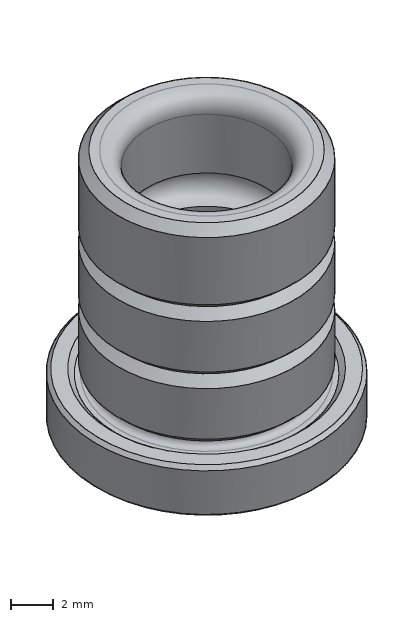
import cadquery as cq
import math

total_height = 16.0
flange_radius = 15.0 / 2
flange_height = 3.0
flange_chamfer = 0.2
body_radius = 6.0
bore_radius = 4.0

top_chamfer = 0.5
mouth_fillet = 1.0

vee_depth = 0.5
vee_pitch = 4.0
vee_count = 2

undercut_depth = 0.3
undercut_outer_radius = 6.5
undercut_floor_radius = undercut_outer_radius - undercut_depth
undercut_fillet = 0.4

bore_groove_radius = 1.0
bore_groove_height = 10.5


def ring(points):
    """Revolve a closed outline of (radius, height) points about Z."""
    return cq.Workplane("XZ").polyline(points).close().revolve(360, (0, 0), (0, 1))


def make_flange():
    flange = cq.Workplane("XY").circle(flange_radius).extrude(flange_height)
    return flange.edges().chamfer(flange_chamfer)


def make_body():
    body = cq.Workplane("XY").circle(body_radius).extrude(total_height)
    return body.faces(">Z").edges().chamfer(top_chamfer)


def make_vee_groove(height):
    return ring([
        (body_radius - vee_depth, height),
        (body_radius, height + vee_depth),
        (flange_radius, height + vee_depth),
        (flange_radius, height - vee_depth),
        (body_radius, height - vee_depth),
    ])


def make_undercut():
    """Sloped foot of the body, filleted into a shallow recess in the flange face."""
    floor = flange_height - undercut_depth
    fillet_center_radius = body_radius - vee_depth + undercut_fillet
    fillet_center_height = floor + undercut_fillet

    slope_offset = body_radius - vee_depth - flange_height
    center_offset = fillet_center_radius - fillet_center_height
    ratio = (slope_offset - center_offset) / (undercut_fillet * math.sqrt(2))
    foot_angle = 2 * math.pi - math.acos(ratio) - math.pi / 4

    def on_fillet(angle):
        return (
            fillet_center_radius + undercut_fillet * math.cos(angle),
            fillet_center_height + undercut_fillet * math.sin(angle),
        )

    floor_angle = 1.5 * math.pi
    return (
        cq.Workplane("XZ")
        .moveTo(body_radius, flange_height + vee_depth)
        .lineTo(*on_fillet(foot_angle))
        .threePointArc(on_fillet((foot_angle + floor_angle) / 2), on_fillet(floor_angle))
        .lineTo(undercut_floor_radius, floor)
        .lineTo(undercut_outer_radius, flange_height)
        .lineTo(undercut_outer_radius, flange_height + vee_depth)
        .close()
        .revolve(360, (0, 0), (0, 1))
    )


def make_bore():
    mouth_edge = total_height - mouth_fillet
    arc_middle = mouth_fillet * math.sqrt(0.5)
    straight_and_mouth = (
        cq.Workplane("XZ")
        .lineTo(bore_radius, 0)
        .lineTo(bore_radius, mouth_edge)
        .threePointArc(
            (bore_radius + mouth_fillet - arc_middle, mouth_edge + arc_middle),
            (bore_radius + mouth_fillet, total_height),
        )
        .lineTo(0, total_height)
        .close()
        .revolve(360, (0, 0), (0, 1))
    )
    ring_groove = (
        cq.Workplane("XZ")
        .moveTo(0, bore_groove_height - bore_groove_radius)
        .lineTo(bore_radius, bore_groove_height - bore_groove_radius)
        .threePointArc(
            (bore_radius + bore_groove_radius, bore_groove_height),
            (bore_radius, bore_groove_height + bore_groove_radius),
        )
        .lineTo(0, bore_groove_height + bore_groove_radius)
        .close()
        .revolve(360, (0, 0), (0, 1))
    )
    return straight_and_mouth.union(ring_groove)


result = make_flange().union(make_body()).cut(make_undercut())
for index in range(1, vee_count + 1):
    result = result.cut(make_vee_groove(flange_height + index * vee_pitch))
result = result.cut(make_bore())